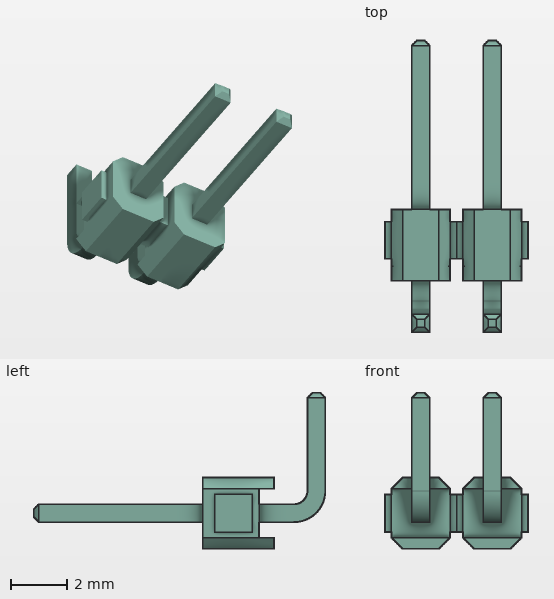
import cadquery as cq

POSITIONS = 2
PITCH = 2.54

HOUSING_WIDTH = 2.09
HOUSING_HEIGHT = PITCH
HOUSING_DEPTH = PITCH
HOUSING_FRONT = 1.82
HOUSING_BACK = HOUSING_FRONT + HOUSING_DEPTH
EDGE_CHAMFER = 0.4
RECESS_DEPTH = 0.53
RECESS_HEIGHT = HOUSING_HEIGHT - 2 * EDGE_CHAMFER

TAB_DEPTH = 1.33
TAB_HEIGHT = 1.34
TAB_BACK_OFFSET = 0.44

PIN_SIZE = 0.64
PIN_END = 10.36
PIN_TOP = 4.28
BEND_OUTER_RADIUS = 1.12
BEND_INNER_RADIUS = BEND_OUTER_RADIUS - PIN_SIZE
TIP_CHAMFER = 0.19


def make_housing():
    """Block with chamfered long edges and an open recess across its front."""
    block = (
        cq.Workplane("XY")
        .box(HOUSING_WIDTH, HOUSING_DEPTH, HOUSING_HEIGHT, centered=(True, False, True))
        .edges("|Y")
        .chamfer(EDGE_CHAMFER)
    )
    recess = cq.Workplane("XY").box(
        HOUSING_WIDTH, RECESS_DEPTH, RECESS_HEIGHT, centered=(True, False, True)
    )
    return block.cut(recess).translate((0, HOUSING_FRONT, 0))


def make_tabs():
    """Bar through the housing that stands out as a tab on each side."""
    tab_front = HOUSING_BACK - TAB_BACK_OFFSET - TAB_DEPTH
    bar = cq.Workplane("XY").box(PITCH, TAB_DEPTH, TAB_HEIGHT, centered=(True, False, True))
    return bar.translate((0, tab_front, 0))


def make_pin():
    """Square L-shaped pin with a rounded bend and tapered tips."""
    half = PIN_SIZE / 2
    bend_z = BEND_OUTER_RADIUS - half
    pin = (
        cq.Workplane("YZ")
        .moveTo(PIN_END, -half)
        .lineTo(BEND_OUTER_RADIUS, -half)
        .radiusArc((0, bend_z), BEND_OUTER_RADIUS)
        .lineTo(0, PIN_TOP)
        .lineTo(PIN_SIZE, PIN_TOP)
        .lineTo(PIN_SIZE, bend_z)
        .radiusArc((BEND_OUTER_RADIUS, half), -BEND_INNER_RADIUS)
        .lineTo(PIN_END, half)
        .close()
        .extrude(half, both=True)
    )
    for tip in (">Y", ">Z"):
        pin = pin.faces(tip).chamfer(TIP_CHAMFER)
    return pin


def make_position(x):
    """One header position centred at x."""
    return make_housing().union(make_tabs()).union(make_pin()).translate((x, 0, 0))


first_x = -(POSITIONS - 1) * PITCH / 2
positions = [make_position(first_x + index * PITCH) for index in range(POSITIONS)]

result = cq.Compound.makeCompound([position.val() for position in positions])